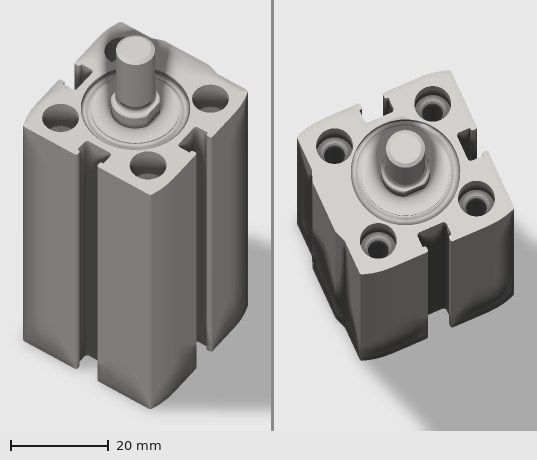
import cadquery as cq
import math

TOTAL_HEIGHT = 86.5
BODY_HEIGHT = 67.6
BODY_SIDE = 34.5
HALF_SIDE = BODY_SIDE / 2

SIDE_FLAT_HALF = 10.8
SIDE_CURVE_RADIUS = 17.3
CORNER_FILLET = 0.6
RIDGE_HEIGHT = 0.95
RIDGE_TOP_HALF = 5.7
RIDGE_BASE_HALF = 8.3

SLOT_DEPTH = 4.5
SLOT_WIDTH = 6.5
SLOT_MOUTH_WIDTH = 5.0
SLOT_LIP = 1.4
LIP_FILLET = 0.4
SLOT_FLOOR_FILLET = 0.7
SLOT_ANGLES = (0, 180, 270)

HOLE_PITCH = 22.0
HOLE_DIAMETER = 4.2
COUNTERBORE_DIAMETER = 7.5
COUNTERBORE_DEPTH = 7.0
HOLE_CHAMFER = 0.39

COVER_DROP = 0.3

GROOVE_STEPS = ((9.1, 0.5), (9.3, 0.5), (9.9, 0.8), (10.0, 0.8), (10.3, 0.6), (11.2, 1.1))

ROD_DIAMETER = 10.0
ROD_SEAT_DEPTH = 8.65
ROD_PROTRUSION = 2.9
ROD_CHAMFER = 0.3
FLATS_WIDTH = 9.0
FLATS_SINK = 0.5
RELIEF_DIAMETER = 10.4
RELIEF_DEPTH = FLATS_SINK

THREAD_DIAMETER = 8.0
THREAD_TIP_DIAMETER = 6.4
THREAD_TIP_CHAMFER = 0.5
THREAD_END_CHAMFER = 0.35
NECK_DIAMETER = 6.4
NECK_LENGTH = 2.2
NECK_TAPER_DIAMETER = 6.7
NECK_TAPER_LENGTH = 0.6
NECK_FILLET = 0.5

EDGE_TOLERANCE = 0.04


def revolve_about_z(profile):
    """Revolve a closed (radius, height) profile about the Z axis."""
    return profile.close().revolve(360, (0, 0), (0, 1))


def turned(x, y, angle):
    """The point (x, y) turned about the origin by an angle in degrees."""
    turn = math.radians(angle)
    return (
        x * math.cos(turn) - y * math.sin(turn),
        x * math.sin(turn) + y * math.cos(turn),
    )


def fillet_vertical_edges(body, spots, radius):
    """Round the vertical edges that stand at the given (x, y) spots."""
    chosen = []
    for edge in body.edges("|Z").vals():
        center = edge.Center()
        if any(math.hypot(center.x - x, center.y - y) < EDGE_TOLERANCE for x, y in spots):
            chosen.append(edge)
    return body.newObject(chosen).fillet(radius)


def make_extrusion():
    """Housing block with bowed X sides and a low ridge on the +Y face."""
    arc_angle = math.asin((HALF_SIDE - SIDE_FLAT_HALF) / SIDE_CURVE_RADIUS)
    corner_x = HALF_SIDE - SIDE_CURVE_RADIUS * (1 - math.cos(arc_angle))
    mid_x = HALF_SIDE - SIDE_CURVE_RADIUS * (1 - math.cos(arc_angle / 2))
    mid_y = SIDE_FLAT_HALF + SIDE_CURVE_RADIUS * math.sin(arc_angle / 2)
    block = (
        cq.Workplane("XY")
        .moveTo(-corner_x, -HALF_SIDE)
        .lineTo(corner_x, -HALF_SIDE)
        .threePointArc((mid_x, -mid_y), (HALF_SIDE, -SIDE_FLAT_HALF))
        .lineTo(HALF_SIDE, SIDE_FLAT_HALF)
        .threePointArc((mid_x, mid_y), (corner_x, HALF_SIDE))
        .lineTo(RIDGE_BASE_HALF, HALF_SIDE)
        .lineTo(RIDGE_TOP_HALF, HALF_SIDE + RIDGE_HEIGHT)
        .lineTo(-RIDGE_TOP_HALF, HALF_SIDE + RIDGE_HEIGHT)
        .lineTo(-RIDGE_BASE_HALF, HALF_SIDE)
        .lineTo(-corner_x, HALF_SIDE)
        .threePointArc((-mid_x, mid_y), (-HALF_SIDE, SIDE_FLAT_HALF))
        .lineTo(-HALF_SIDE, -SIDE_FLAT_HALF)
        .threePointArc((-mid_x, -mid_y), (-corner_x, -HALF_SIDE))
        .close()
        .extrude(BODY_HEIGHT)
    )
    corners = [(x, y) for x in (-corner_x, corner_x) for y in (-HALF_SIDE, HALF_SIDE)]
    return fillet_vertical_edges(block, corners, CORNER_FILLET)


def cut_slots(body):
    """Full-length slots with a wide chamber behind two rounded lips."""
    floor_x = HALF_SIDE - SLOT_DEPTH
    lip_x = HALF_SIDE - SLOT_LIP
    chamber = (
        cq.Workplane("XY")
        .center((floor_x + lip_x) / 2, 0)
        .rect(lip_x - floor_x, SLOT_WIDTH)
        .extrude(BODY_HEIGHT)
        .edges("|Z and <X")
        .fillet(SLOT_FLOOR_FILLET)
    )
    mouth = (
        cq.Workplane("XY")
        .center((floor_x + HALF_SIDE) / 2, 0)
        .rect(SLOT_DEPTH, SLOT_MOUTH_WIDTH)
        .extrude(BODY_HEIGHT)
    )
    slot = chamber.union(mouth)
    lip_corners = []
    for angle in SLOT_ANGLES:
        body = body.cut(slot.rotate((0, 0, 0), (0, 0, 1), angle))
        for x in (lip_x, HALF_SIDE):
            for y in (-SLOT_MOUTH_WIDTH / 2, SLOT_MOUTH_WIDTH / 2):
                lip_corners.append(turned(x, y, angle))
    return fillet_vertical_edges(body, lip_corners, LIP_FILLET)


def cut_mounting_holes(body):
    """Counterbored through holes on a square pitch."""
    hole_radius = HOLE_DIAMETER / 2
    counterbore_radius = COUNTERBORE_DIAMETER / 2
    ledge = BODY_HEIGHT - COUNTERBORE_DEPTH
    drill = revolve_about_z(
        cq.Workplane("XZ").polyline([
            (0, 0),
            (hole_radius, 0),
            (hole_radius, ledge - HOLE_CHAMFER),
            (hole_radius + HOLE_CHAMFER, ledge),
            (counterbore_radius, ledge),
            (counterbore_radius, BODY_HEIGHT),
            (0, BODY_HEIGHT),
        ])
    )
    for x in (-HOLE_PITCH / 2, HOLE_PITCH / 2):
        for y in (-HOLE_PITCH / 2, HOLE_PITCH / 2):
            body = body.cut(drill.translate((x, y, 0)))
    return body


def cut_cover_face(body):
    """Sink the cover face and cut the stepped ring groove round it."""
    cover_face = BODY_HEIGHT - COVER_DROP
    inner_radius = GROOVE_STEPS[0][0]
    outer_radius = GROOVE_STEPS[-1][0]
    groove_floor = [(radius, BODY_HEIGHT - depth) for radius, depth in GROOVE_STEPS]
    recess = revolve_about_z(
        cq.Workplane("XZ").polyline([
            (0, BODY_HEIGHT),
            (0, cover_face),
            (inner_radius, cover_face),
            *groove_floor,
            (outer_radius, BODY_HEIGHT),
        ])
    )
    return body.cut(recess)


def cut_rod_seat(body):
    """Blind hole for the rod, with a wider relief at its mouth."""
    for diameter, depth in ((ROD_DIAMETER, ROD_SEAT_DEPTH), (RELIEF_DIAMETER, RELIEF_DEPTH)):
        bore = (
            cq.Workplane("XY", origin=(0, 0, BODY_HEIGHT - depth))
            .circle(diameter / 2)
            .extrude(depth)
        )
        body = body.cut(bore)
    return body


def make_housing():
    body = make_extrusion()
    body = cut_slots(body)
    body = cut_mounting_holes(body)
    body = cut_cover_face(body)
    return cut_rod_seat(body)


def turn_rod():
    """Round rod with a necked, chamfered thread end."""
    rod_radius = ROD_DIAMETER / 2
    thread_radius = THREAD_DIAMETER / 2
    neck_radius = NECK_DIAMETER / 2
    rod_bottom = BODY_HEIGHT - ROD_SEAT_DEPTH
    shoulder = BODY_HEIGHT + ROD_PROTRUSION
    thread_start = shoulder + NECK_LENGTH
    taper_top = thread_start - THREAD_END_CHAMFER
    fillet_offset = NECK_FILLET * (1 - math.sqrt(0.5))
    return revolve_about_z(
        cq.Workplane("XZ")
        .moveTo(0, rod_bottom)
        .lineTo(rod_radius, rod_bottom)
        .lineTo(rod_radius, shoulder - ROD_CHAMFER)
        .lineTo(rod_radius - ROD_CHAMFER, shoulder)
        .lineTo(neck_radius + NECK_FILLET, shoulder)
        .threePointArc(
            (neck_radius + fillet_offset, shoulder + fillet_offset),
            (neck_radius, shoulder + NECK_FILLET),
        )
        .lineTo(neck_radius, taper_top - NECK_TAPER_LENGTH)
        .lineTo(NECK_TAPER_DIAMETER / 2, taper_top)
        .lineTo(thread_radius, thread_start)
        .lineTo(thread_radius, TOTAL_HEIGHT - THREAD_TIP_CHAMFER)
        .lineTo(THREAD_TIP_DIAMETER / 2, TOTAL_HEIGHT)
        .lineTo(0, TOTAL_HEIGHT)
    )


def cut_wrench_flats(rod):
    """Two flats across X at the rod shoulder."""
    flats_bottom = BODY_HEIGHT - FLATS_SINK
    flats_height = ROD_PROTRUSION + FLATS_SINK
    cutter = cq.Workplane("XY").box(
        ROD_DIAMETER, ROD_DIAMETER, flats_height, centered=(True, True, False)
    )
    cutter_offset = (FLATS_WIDTH + ROD_DIAMETER) / 2
    for x in (-cutter_offset, cutter_offset):
        rod = rod.cut(cutter.translate((x, 0, flats_bottom)))
    return rod


housing = make_housing()
rod = cut_wrench_flats(turn_rod())

result = cq.Compound.makeCompound([housing.val(), rod.val()])